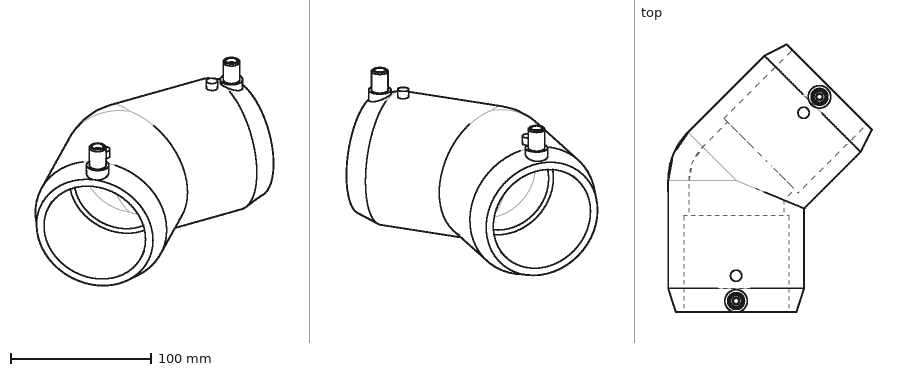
import cadquery as cq

BEND_ANGLE = 45.0
LEG_LENGTH = 94.0
OUTER_DIAMETER = 97.0
END_DIAMETER = 86.0
TAPER_LENGTH = 17.0

SOCKET_DIAMETER = 75.0
SOCKET_DEPTH = 69.0
WATERWAY_DIAMETER = 67.67

FIRST_TERMINAL_END_DISTANCE = 8.0
SECOND_TERMINAL_END_DISTANCE = 10.0
TERMINAL_BASE_DIAMETER = 16.0
TERMINAL_BASE_TOP = 50.75
TERMINAL_DIAMETER = 12.0
TERMINAL_TOP = 66.0
TERMINAL_CHAMFER = 1.0
TERMINAL_HOLE_DIAMETER = 8.0
TERMINAL_HOLE_DEPTH = 12.0
CONTACT_DIAMETER = 5.0
CONTACT_RECESS = 2.0
CONTACT_CHAMFER = 0.5

INDICATOR_END_DISTANCE = 26.0
INDICATOR_DIAMETER = 8.0
INDICATOR_TOP = 54.0

ROOT_HEIGHT = (SOCKET_DIAMETER + END_DIAMETER) / 4

SECOND_LEG_TURN = 180.0 - BEND_ANGLE


def on_second_leg(leg_feature):
    """Turn a feature of the -Y leg onto the second leg, which points toward +X +Y."""
    return leg_feature.rotate((0, 0, 0), (0, 0, 1), SECOND_LEG_TURN)


def on_both_legs(leg_feature):
    """Join a feature of the -Y leg with its copy on the second leg."""
    return leg_feature.union(on_second_leg(leg_feature))


def revolve_about_leg(profile):
    """Revolve an XY profile about the axis of the -Y leg."""
    return profile.close().revolve(360, (0, 0, 0), (0, 1, 0))


def outer_leg():
    radius = OUTER_DIAMETER / 2
    profile = (
        cq.Workplane("XY")
        .lineTo(radius, 0)
        .lineTo(radius, TAPER_LENGTH - LEG_LENGTH)
        .lineTo(END_DIAMETER / 2, -LEG_LENGTH)
        .lineTo(0, -LEG_LENGTH)
    )
    return revolve_about_leg(profile)


def bore_leg():
    step_y = SOCKET_DEPTH - LEG_LENGTH
    profile = (
        cq.Workplane("XY")
        .lineTo(WATERWAY_DIAMETER / 2, 0)
        .lineTo(WATERWAY_DIAMETER / 2, step_y)
        .lineTo(SOCKET_DIAMETER / 2, step_y)
        .lineTo(SOCKET_DIAMETER / 2, -LEG_LENGTH)
        .lineTo(0, -LEG_LENGTH)
    )
    return revolve_about_leg(profile)


def bend_wedge(diameter):
    """Wedge of a sphere filling the gap between the legs on the outside of the bend."""
    radius = diameter / 2
    return (
        cq.Workplane("XZ")
        .moveTo(0, radius)
        .threePointArc((-radius, 0), (0, -radius))
        .close()
        .revolve(BEND_ANGLE, (0, 0, 0), (0, -1, 0))
    )


def upright_cylinder(end_distance, diameter, bottom, top):
    """Vertical cylinder above the -Y leg, placed by its distance from the leg end."""
    return (
        cq.Workplane("XY", origin=(0, end_distance - LEG_LENGTH, bottom))
        .circle(diameter / 2)
        .extrude(top - bottom)
    )


def terminal(end_distance):
    hole_bottom = TERMINAL_TOP - TERMINAL_HOLE_DEPTH
    base = upright_cylinder(end_distance, TERMINAL_BASE_DIAMETER, ROOT_HEIGHT, TERMINAL_BASE_TOP)
    post = upright_cylinder(end_distance, TERMINAL_DIAMETER, ROOT_HEIGHT, TERMINAL_TOP)
    post = post.faces(">Z").chamfer(TERMINAL_CHAMFER)
    hole = upright_cylinder(end_distance, TERMINAL_HOLE_DIAMETER, hole_bottom, TERMINAL_TOP)
    contact = upright_cylinder(end_distance, CONTACT_DIAMETER, ROOT_HEIGHT, TERMINAL_TOP - CONTACT_RECESS)
    contact = contact.faces(">Z").chamfer(CONTACT_CHAMFER)
    return base.union(post).cut(hole).union(contact)


def indicator():
    return upright_cylinder(INDICATOR_END_DISTANCE, INDICATOR_DIAMETER, ROOT_HEIGHT, INDICATOR_TOP)


body = on_both_legs(outer_leg()).union(bend_wedge(OUTER_DIAMETER))
bore = on_both_legs(bore_leg()).union(bend_wedge(WATERWAY_DIAMETER))

terminals = terminal(FIRST_TERMINAL_END_DISTANCE).union(
    on_second_leg(terminal(SECOND_TERMINAL_END_DISTANCE))
)

result = body.cut(bore).union(terminals).union(on_both_legs(indicator()))